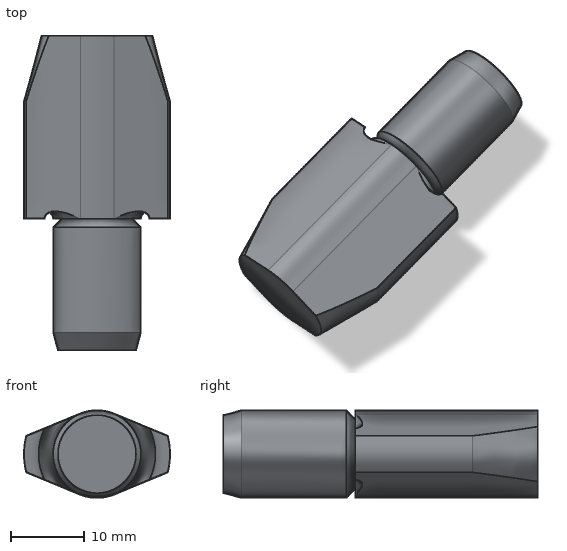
import cadquery as cq
import math

total_length = 43.0
shank_length = 18.0
head_length = total_length - shank_length

shank_diameter = 12.0
shank_radius = shank_diameter / 2
end_chamfer_length = 2.5
end_chamfer_angle = 15.0
neck_chamfer = 1.2

head_width = 20.0
head_radius = head_width / 2
flat_angle = 22.5
tip_taper_length = 9.0
tip_taper_angle = 15.0

groove_radius = 1.0
groove_center_radius = shank_radius + groove_radius


def revolve_about_y(profile):
    """Turn a closed XY profile a full circle around the Y axis."""
    return profile.close().revolve(360, (0, 0, 0), (0, 1, 0))


def make_shank():
    end_reduction = end_chamfer_length * math.tan(math.radians(end_chamfer_angle))
    profile = (
        cq.Workplane("XY")
        .moveTo(0, 0)
        .lineTo(shank_radius - neck_chamfer, 0)
        .lineTo(shank_radius, -neck_chamfer)
        .lineTo(shank_radius, end_chamfer_length - shank_length)
        .lineTo(shank_radius - end_reduction, -shank_length)
        .lineTo(0, -shank_length)
    )
    return revolve_about_y(profile)


def make_turned_head():
    """Round head with a conical taper towards its tip."""
    tip_reduction = tip_taper_length * math.tan(math.radians(tip_taper_angle))
    profile = (
        cq.Workplane("XY")
        .moveTo(0, 0)
        .lineTo(head_radius, 0)
        .lineTo(head_radius, head_length - tip_taper_length)
        .lineTo(head_radius - tip_reduction, head_length)
        .lineTo(0, head_length)
    )
    return revolve_about_y(profile)


def make_diamond_prism():
    """Diamond with four flats tangent to ridges of the shank radius."""
    angle = math.radians(flat_angle)
    corner_x = shank_radius / math.sin(angle)
    tangent_x = shank_radius * math.sin(angle)
    tangent_z = shank_radius * math.cos(angle)
    return (
        cq.Workplane("XZ")
        .moveTo(corner_x, 0)
        .lineTo(tangent_x, tangent_z)
        .threePointArc((0, shank_radius), (-tangent_x, tangent_z))
        .lineTo(-corner_x, 0)
        .lineTo(-tangent_x, -tangent_z)
        .threePointArc((0, -shank_radius), (tangent_x, -tangent_z))
        .close()
        .extrude(-head_length)
    )


def make_shoulder_groove():
    """Half-round ring sunk into the shoulder."""
    profile = (
        cq.Workplane("XY")
        .moveTo(groove_center_radius - groove_radius, 0)
        .threePointArc(
            (groove_center_radius, groove_radius),
            (groove_center_radius + groove_radius, 0),
        )
    )
    return revolve_about_y(profile)


head = make_turned_head().intersect(make_diamond_prism()).cut(make_shoulder_groove())
result = head.union(make_shank())